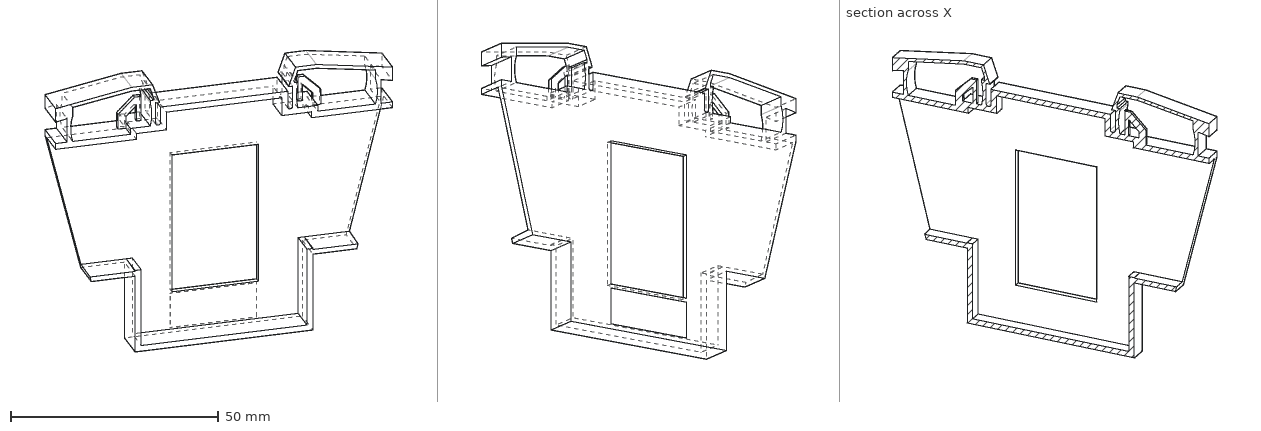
import cadquery as cq

depth = 8.8
half_length = 42.5
height = 69.9
wall = 1.5

shelf_z = 57.55
shelf_underside_z = shelf_z - wall
raised_floor_z = shelf_z + wall
block_top_z = 63.75
shoulder_z = 20.0

shoulder_half_width = 33.5
tab_half_width = 22.4
block_half_width = 16.1
step_y = 23.6

flange_tip_thickness = 1.3

window_width = 21.8
window_bottom_z = 11.3
window_top_z = 47.35
panel_bottom_z = 1.3
panel_top_z = 10.3
panel_recess = 0.1

cap_shoulder_z = 66.7
cap_lip_z = 63.15
cap_inner_edge_y = 18.0
cap_bend_y = 23.3
cap_thickness = 1.0
beak_y = 16.3
beak_top_z = 65.1
beak_bottom_z = 64.9
inner_leg_outside_y = 17.25
inner_leg_inside_y = 18.3
ledge_y = 18.6
ledge_z = 65.8
ledge_bottom_z = 65.2
recess_y = 17.85
recess_z = 66.6
outer_leg_outside_y = 39.6
outer_leg_inside_y = 38.7
haunch_y = 38.2
haunch_top_z = 66.5
haunch_bottom_z = 64.2
slot_fillet = 0.5

hook_thickness = 1.3
hook_near_x = (depth - hook_thickness) / 2
hook_foot_y = 25.6
hook_knee_z = 61.45
hook_peak_y = 21.4
hook_top_z = 65.45
hook_post_inside_y = 19.8
hook_post_outside_y = 20.9
hook_opening_apex_z = 63.2
hook_opening_knee_z = 60.6


def slab(points, near_x, thickness):
    """Extrude a closed (Y, Z) outline along +X from near_x."""
    return cq.Workplane("YZ", origin=(near_x, 0, 0)).polyline(points).close().extrude(thickness)


def block(y_min, y_max, z_min, z_max, near_x, thickness):
    """Box given by its Y and Z limits."""
    corners = [(y_min, z_min), (y_max, z_min), (y_max, z_max), (y_min, z_max)]
    return slab(corners, near_x, thickness)


def both_sides(solid):
    """Join a solid on the +Y side with its mirror image on the -Y side."""
    return solid.union(solid.mirror("XZ"))


def half_body(thickness):
    """One half of the body outline, extruded from the face."""
    return slab(
        [
            (0, 0),
            (tab_half_width, 0),
            (tab_half_width, shoulder_z),
            (shoulder_half_width, shoulder_z),
            (half_length, shelf_underside_z),
            (half_length, shelf_z),
            (step_y, shelf_z),
            (step_y, raised_floor_z),
            (block_half_width, raised_floor_z),
            (block_half_width, block_top_z),
            (0, block_top_z),
        ],
        0,
        thickness,
    )


def top_rim():
    """Full-depth wall that follows one half of the stepped upper edge."""
    inner_step_y = step_y - wall
    inner_block_y = block_half_width - wall
    return slab(
        [
            (0, block_top_z),
            (block_half_width, block_top_z),
            (block_half_width, raised_floor_z),
            (step_y, raised_floor_z),
            (step_y, shelf_z),
            (half_length, shelf_z),
            (half_length, shelf_underside_z),
            (inner_step_y, shelf_underside_z),
            (inner_step_y, raised_floor_z - wall),
            (inner_block_y, raised_floor_z - wall),
            (inner_block_y, block_top_z - wall),
            (0, block_top_z - wall),
        ],
        0,
        depth,
    )


def tab_rim():
    """Full-depth side and bottom wall around one half of the lower tab."""
    inner_y = tab_half_width - wall
    side = block(inner_y, tab_half_width, 0, shoulder_z + wall, 0, depth)
    bottom = block(0, tab_half_width, 0, wall, 0, depth)
    return side.union(bottom)


def shoulder_flange():
    """Tapered flange along the underside of one shoulder, ending flush with the sloping side."""
    strip = (
        cq.Workplane("XZ", origin=(0, half_length, 0))
        .polyline(
            [
                (0, shoulder_z),
                (depth, shoulder_z),
                (depth, shoulder_z + flange_tip_thickness),
                (wall, shoulder_z + wall),
                (0, shoulder_z + wall),
            ]
        )
        .close()
        .extrude(half_length - tab_half_width + wall)
    )
    return strip.intersect(half_body(depth))


def latch():
    """Cap, outer leg and inner leg of one latch, open through the depth."""
    ceiling_z = height - cap_thickness
    outside = slab(
        [
            (inner_leg_outside_y, raised_floor_z),
            (inner_leg_outside_y, beak_bottom_z),
            (beak_y, beak_bottom_z),
            (beak_y, beak_top_z),
            (cap_inner_edge_y, height),
            (cap_bend_y, height),
            (half_length, cap_shoulder_z),
            (half_length, cap_lip_z),
            (outer_leg_outside_y, block_top_z),
            (outer_leg_outside_y, shelf_z),
            (step_y, shelf_z),
            (step_y, raised_floor_z),
        ],
        0,
        depth,
    )
    inner_waist = (inner_leg_inside_y, (ledge_bottom_z + raised_floor_z) / 2)
    outer_waist = (outer_leg_inside_y, (haunch_bottom_z + shelf_z) / 2)
    opening = (
        cq.Workplane("YZ")
        .moveTo(ledge_y, raised_floor_z)
        .threePointArc(inner_waist, (ledge_y, ledge_bottom_z))
        .lineTo(ledge_y, ledge_z)
        .lineTo(recess_y, ledge_z)
        .lineTo(recess_y, recess_z)
        .lineTo(ledge_y, ceiling_z)
        .lineTo(cap_bend_y, ceiling_z)
        .lineTo(haunch_y, haunch_top_z)
        .lineTo(haunch_y, haunch_bottom_z)
        .threePointArc(outer_waist, (haunch_y, shelf_z))
        .lineTo(step_y, shelf_z)
        .lineTo(step_y, raised_floor_z)
        .close()
        .extrude(depth)
    )
    return outside.cut(opening)


def along_depth(y, z):
    """Selector for the X-parallel edge that passes through (y, z)."""
    tolerance = 0.01
    return cq.selectors.BoxSelector(
        (-tolerance, y - tolerance, z - tolerance),
        (depth + tolerance, y + tolerance, z + tolerance),
    )


def hook():
    """Sloping brace with a triangular opening, inside one latch."""
    outside = slab(
        [
            (hook_post_inside_y, shelf_z),
            (hook_foot_y, shelf_z),
            (hook_foot_y, hook_knee_z),
            (hook_peak_y, hook_top_z),
            (hook_post_inside_y, hook_top_z),
        ],
        hook_near_x,
        hook_thickness,
    )
    opening = slab(
        [
            (hook_post_outside_y, raised_floor_z),
            (step_y, raised_floor_z),
            (step_y, hook_opening_knee_z),
            (hook_post_outside_y, hook_opening_apex_z),
        ],
        hook_near_x,
        hook_thickness,
    )
    return outside.cut(opening)


half = half_body(wall)
for piece in [top_rim(), tab_rim(), shoulder_flange(), latch(), hook()]:
    half = half.union(piece)
half = half.clean()
for slot_side_y in [block_half_width, inner_leg_outside_y]:
    half = half.edges(along_depth(slot_side_y, raised_floor_z)).fillet(slot_fillet)

half_window = window_width / 2
window = block(-half_window, half_window, window_bottom_z, window_top_z, 0, wall)
panel = block(-half_window, half_window, panel_bottom_z, panel_top_z, 0, panel_recess)
result = both_sides(half).cut(window).cut(panel)